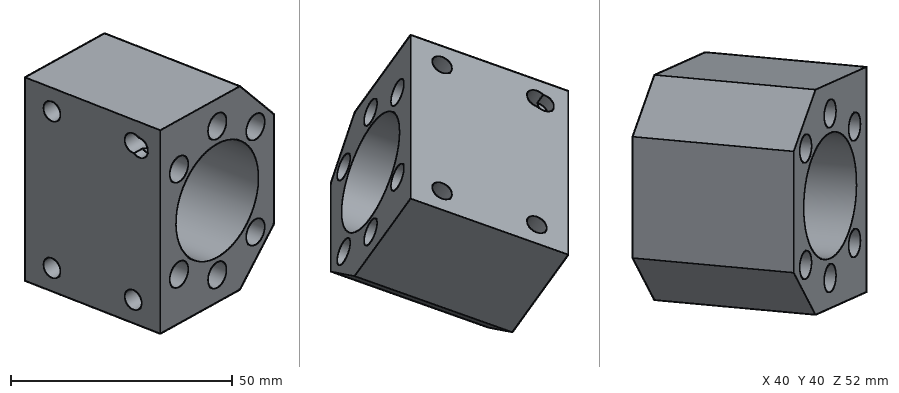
import cadquery as cq
import math

length = 40.0
width = 40.0
height = 52.0
chamfer = 12.0

bore_diameter = 29.0
ring_diameter = 38.0
ring_hole_diameter = 6.5
ring_angles = (45, 90, 135, 225, 270, 315)

drill_diameter = 5.0
drill_tip_angle = 118.0
mount_depth = 12.0
mount_pitch_x = 24.0
mount_pitch_z = 40.0
extra_hole_depth = 3.0
extra_hole_x = 13.84
extra_hole_z = 19.43


def make_block():
    """Rectangular block with its two +Y long edges chamfered."""
    block = cq.Workplane("XY").box(length, width, height)
    return block.faces(">Y").edges("|X").chamfer(chamfer)


def through_hole(diameter, y, z):
    """Cutter running the full length of the block along X."""
    start = cq.Vector(-length / 2, y, z)
    return cq.Solid.makeCylinder(diameter / 2, length, start, cq.Vector(1, 0, 0))


def drilled_hole(x, z, depth):
    """Cutter for a blind hole in the -Y face; depth is to the start of the conical tip."""
    radius = drill_diameter / 2
    tip_length = radius / math.tan(math.radians(drill_tip_angle / 2))
    inward = cq.Vector(0, 1, 0)
    barrel = cq.Solid.makeCylinder(radius, depth, cq.Vector(x, -width / 2, z), inward)
    tip = cq.Solid.makeCone(radius, 0, tip_length, cq.Vector(x, depth - width / 2, z), inward)
    return barrel.fuse(tip)


result = make_block()

result = result.cut(through_hole(bore_diameter, 0, 0))

for angle in ring_angles:
    ring_y = ring_diameter / 2 * math.cos(math.radians(angle))
    ring_z = ring_diameter / 2 * math.sin(math.radians(angle))
    result = result.cut(through_hole(ring_hole_diameter, ring_y, ring_z))

for sign_x in (-1, 1):
    for sign_z in (-1, 1):
        mount_x = sign_x * mount_pitch_x / 2
        mount_z = sign_z * mount_pitch_z / 2
        result = result.cut(drilled_hole(mount_x, mount_z, mount_depth))

result = result.cut(drilled_hole(extra_hole_x, extra_hole_z, extra_hole_depth))